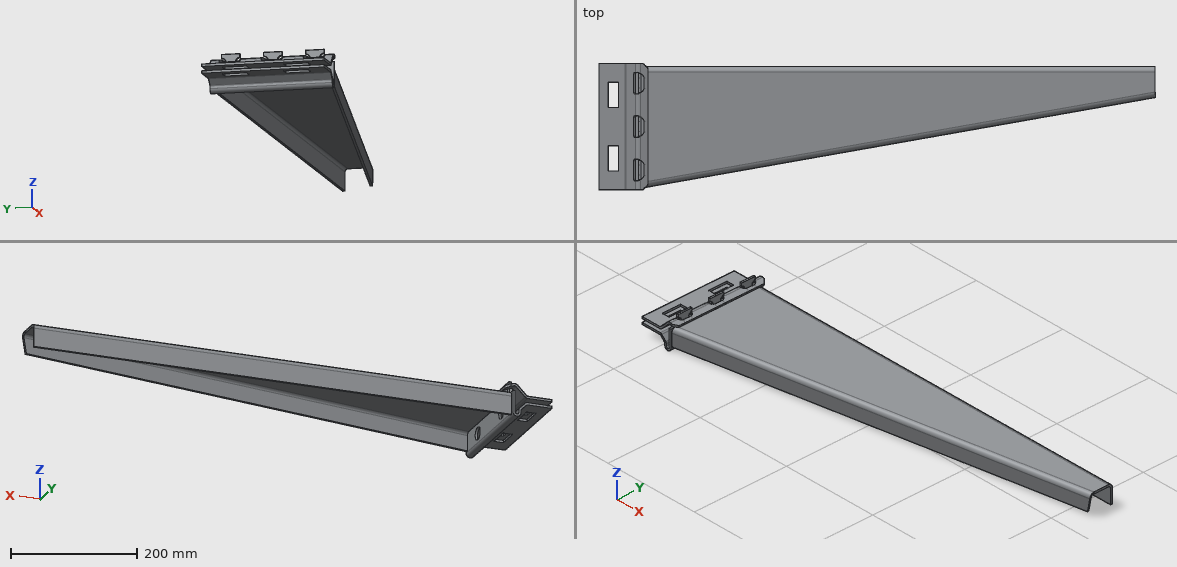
import cadquery as cq
import math

thickness = 4.0
half_thickness = thickness / 2
total_length = 882
width = 200.0
half_width = width / 2
total_height = 63.5

clamp_mid_z = 29.0
clamp_gap = 7.0
slope_angle = 45
flat_offset = (clamp_gap + thickness) / 2
clamp_hole_x = 23.0
clamp_hole_y = 50.0
clamp_hole_width = 16.0
clamp_hole_length = 40.0

hanger_flat = 42.0
hanger_slope = 13.0
hanger_bend_radius = 1.0 + half_thickness
u_bend_radius = 3.1 + half_thickness
u_bend_center_z = u_bend_radius + half_thickness
slope_rise = hanger_slope * math.sin(math.radians(slope_angle))
drop_x = hanger_flat + hanger_bend_radius + slope_rise
drop_top_z = clamp_mid_z - flat_offset - hanger_bend_radius - slope_rise
plate_x = drop_x + 2 * u_bend_radius
shoulder_z = 43.0
bolt_hole_z = 23.0
bolt_hole_diameter = 21.0

tab_pitch = 69.0
tab_positions = (-tab_pitch, 0, tab_pitch)
tab_width = 30.0
tab_notch_radius = 7.0

cover_flat = 41.5
cover_flat_bend_radius = 2.0 + half_thickness
cover_slope = 22.0
cover_ridge_radius = 4.0 + half_thickness
lip_angle = 15
lip_length = 12.0
lip_chamfer = 8.0
tab_slot_length = 34.0
tab_slot_width = 14.0
tab_slot_slope_corner = 3.0
tab_slot_lip_corner = 9.0
tab_slot_cut_depth = 16.0
tab_slot_x = 61.0
tab_slot_z = 54.0

arm_start = plate_x + half_thickness
back_bottom = 4.0
back_height = 40.0
arm_top = back_bottom + back_height
arm_bend_radius = 9.0
back_y = 95.0
front_end_y = 46.0
taper_angle = 10
flange_lean_angle = taper_angle
end_overhang = (math.sqrt(2) - 1) * arm_bend_radius * math.sin(math.radians(taper_angle))
arm_end = total_length - end_overhang
front_bottom = 9.0


def bent_sheet(start, legs):
    """Full-width sheet following a centre line in XZ that sets off along +X.

    Each leg is ("straight", length) or ("bend", degrees, centre-line radius); positive bends turn up.
    """
    x, z = start
    heading = 0.0

    def side_point(offset):
        return (x - offset * math.sin(heading), z + offset * math.cos(heading))

    lower = [side_point(-half_thickness)]
    upper = [side_point(half_thickness)]
    middles = []
    for kind, *sizes in legs:
        if kind == "straight":
            x += sizes[0] * math.cos(heading)
            z += sizes[0] * math.sin(heading)
            middles.append(None)
        else:
            half_turn = math.radians(sizes[0]) / 2
            half_chord = 2 * sizes[1] * math.sin(abs(half_turn) / 2)
            arc_points = []
            for _ in range(2):
                x += half_chord * math.cos(heading + half_turn / 2)
                z += half_chord * math.sin(heading + half_turn / 2)
                heading += half_turn
                arc_points.append((side_point(-half_thickness), side_point(half_thickness)))
            middles.append(arc_points[0])
        lower.append(side_point(-half_thickness))
        upper.append(side_point(half_thickness))

    outline = cq.Workplane("XZ", origin=(0, half_width, 0)).moveTo(*lower[0])
    for middle, end in zip(middles, lower[1:]):
        outline = outline.threePointArc(middle[0], end) if middle else outline.lineTo(*end)
    outline = outline.lineTo(*upper[-1])
    for middle, end in zip(reversed(middles), reversed(upper[:-1])):
        outline = outline.threePointArc(middle[1], end) if middle else outline.lineTo(*end)
    return outline.close().extrude(width)


def clamp_holes():
    """Two rectangular cutters through a clamping flat."""
    return (
        cq.Workplane("XY")
        .pushPoints([(clamp_hole_x, -clamp_hole_y), (clamp_hole_x, clamp_hole_y)])
        .rect(clamp_hole_width, clamp_hole_length)
        .extrude(total_height)
    )


def make_tab(y):
    """Dovetail tab: a wide head over a neck with a half-round notch on each side."""
    half_tab = tab_width / 2
    notch_top = shoulder_z + 2 * tab_notch_radius
    notch_mid = shoulder_z + tab_notch_radius
    neck = half_tab - tab_notch_radius
    foot_z = shoulder_z - half_thickness
    return (
        cq.Workplane("YZ", origin=(plate_x - half_thickness, y, 0))
        .moveTo(-half_tab, foot_z)
        .lineTo(half_tab, foot_z)
        .lineTo(half_tab, shoulder_z)
        .threePointArc((neck, notch_mid), (half_tab, notch_top))
        .lineTo(half_tab, total_height)
        .lineTo(-half_tab, total_height)
        .lineTo(-half_tab, notch_top)
        .threePointArc((-neck, notch_mid), (-half_tab, shoulder_z))
        .close()
        .extrude(thickness)
    )


def make_hanger():
    hanger = bent_sheet(
        (0, clamp_mid_z - flat_offset),
        [
            ("straight", hanger_flat),
            ("bend", -slope_angle, hanger_bend_radius),
            ("straight", hanger_slope),
            ("bend", -slope_angle, hanger_bend_radius),
            ("straight", drop_top_z - u_bend_center_z),
            ("bend", 180, u_bend_radius),
            ("straight", shoulder_z - u_bend_center_z),
        ],
    )
    for y in tab_positions:
        hanger = hanger.union(make_tab(y))
    bolt_holes = (
        cq.Workplane("YZ", origin=(plate_x - half_thickness, 0, 0))
        .pushPoints([(-clamp_hole_y, bolt_hole_z), (clamp_hole_y, bolt_hole_z)])
        .circle(bolt_hole_diameter / 2)
        .extrude(thickness)
    )
    return hanger.cut(clamp_holes()).cut(bolt_holes)


def make_tab_slot(y):
    """Rounded slot cutter, square to the 45 degree slope of the cover."""
    across_slope = cq.Plane(origin=(tab_slot_x, y, tab_slot_z), xDir=(0, 1, 0), normal=(-1, 0, 1))
    cutter = (
        cq.Workplane(across_slope)
        .rect(tab_slot_length, tab_slot_width)
        .extrude(tab_slot_cut_depth, both=True)
    )
    cutter = cutter.faces("<(1, 0, 1)").edges("|(-1, 0, 1)").fillet(tab_slot_slope_corner)
    return cutter.faces(">(1, 0, 1)").edges("|(-1, 0, 1)").fillet(tab_slot_lip_corner)


def make_cover():
    cover = bent_sheet(
        (0, clamp_mid_z + flat_offset),
        [
            ("straight", cover_flat),
            ("bend", slope_angle, cover_flat_bend_radius),
            ("straight", cover_slope),
            ("bend", -slope_angle - lip_angle, cover_ridge_radius),
            ("straight", lip_length),
        ],
    )
    lip_end = cover.val().BoundingBox().xmax
    for side in (-1, 1):
        corner = (
            cq.Workplane("XY")
            .moveTo(lip_end, side * half_width)
            .lineTo(lip_end - lip_chamfer, side * half_width)
            .lineTo(lip_end, side * (half_width - lip_chamfer))
            .close()
            .extrude(total_height)
        )
        cover = cover.cut(corner)
    for y in tab_positions:
        cover = cover.cut(make_tab_slot(y))
    return cover.cut(clamp_holes())


def tapered_block(inset, end_x):
    """Block inside the channel's outer faces by the inset, with its two long top edges rounded."""
    taper = math.radians(taper_angle)
    front_inset = inset / math.cos(taper)

    def front_y(x):
        return front_end_y - (arm_end - x) * math.tan(taper) + front_inset

    return (
        cq.Workplane("XY", origin=(0, 0, back_bottom))
        .moveTo(arm_start, back_y - inset)
        .lineTo(arm_start, front_y(arm_start))
        .lineTo(end_x, front_y(end_x))
        .lineTo(end_x, back_y - inset)
        .close()
        .extrude(arm_top - inset - back_bottom)
        .faces(">Z")
        .edges(">Y or <Y")
        .fillet(arm_bend_radius - inset)
    )


def make_arm():
    taper = math.radians(taper_angle)
    overrun = 2 * arm_bend_radius
    arm = tapered_block(0, arm_end + overrun).cut(tapered_block(thickness, arm_end + overrun))

    bend_y = front_end_y + arm_bend_radius / math.cos(taper)
    web_trim = (
        cq.Workplane("XY")
        .moveTo(arm_end, bend_y)
        .lineTo(arm_end + overrun, bend_y + overrun * math.tan(taper))
        .lineTo(arm_end + overrun, back_y)
        .lineTo(arm_end, back_y)
        .close()
        .extrude(arm_top)
    )

    flange_end = cq.Plane(
        origin=(arm_end, bend_y, 0),
        xDir=(math.cos(taper), math.sin(taper), 0),
        normal=(math.sin(taper), -math.cos(taper), 0),
    )
    lean = arm_top * math.tan(math.radians(flange_lean_angle))
    flange_trim = (
        cq.Workplane(flange_end)
        .polyline([(-lean, 0), (0, arm_top), (2 * overrun, arm_top), (2 * overrun, 0)])
        .close()
        .extrude(overrun)
    )

    arm_length = arm_end + overrun - arm_start
    trim_width = half_width + back_y - thickness
    front_wall_trim = (
        cq.Workplane("XY", origin=(arm_start, -half_width, 0))
        .box(arm_length, trim_width, front_bottom, centered=False)
    )
    return arm.cut(web_trim).cut(flange_trim).cut(front_wall_trim)


hanger = make_hanger()
cover = make_cover()
arm = make_arm()
result = cq.Compound.makeCompound([hanger.val(), cover.val(), arm.val()])